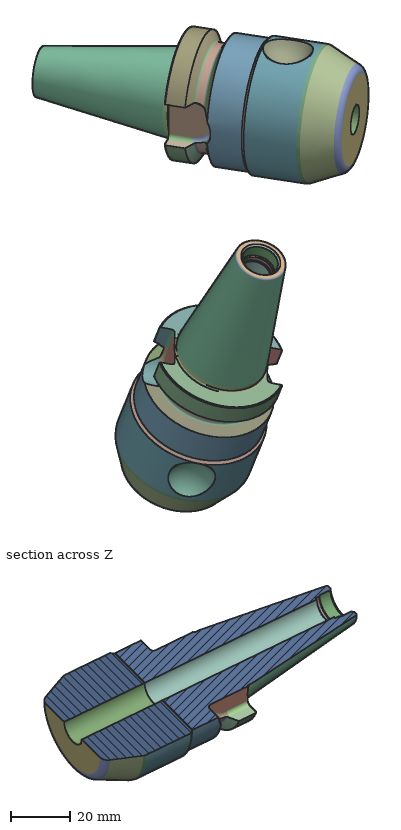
import cadquery as cq
import math

TAPER_LENGTH = 48.3
FLANGE_START = 50.5
FLANGE_END = 57.8
COLLAR_START = 66.0
NUT_START = 78.2
OVERALL_LENGTH = 111.4

GAUGE_RADIUS = 31.7 / 2
TAPER_SLOPE = 7 / 48
FLANGE_RADIUS = 46.0 / 2
GROOVE_RADIUS = 19.0
GROOVE_WALL_ANGLE = 60.0

TIP_FILLET = 0.6
NECK_FILLET = 0.6
FLANGE_CHAMFER = 0.3
GROOVE_FILLET = 0.8

BORE_RADIUS = 5.1
THREAD_RADIUS = 5.8
PILOT_RADIUS = 6.2
PILOT_DEPTH = 5.1
THREAD_END = 7.0
MOUTH_CHAMFER = 0.7

SLOT_WIDTH = 16.0
SLOT_FLOOR_Y = 16.3
SLOT_END_X = 67.2
SLOT_FLOOR_FILLET = 1.5

NUT_RADIUS = 48.0 / 2
NOSE_CONE_START = 98.4
NOSE_CONE_ANGLE = 24.5
CONE_FILLET = 3.1
NOSE_FILLET = 3.2

SOCKET_X = 87.8
SOCKET_CENTER_Z = 27.0
SOCKET_RADIUS = 9.0

TIP_RADIUS = GAUGE_RADIUS - TAPER_LENGTH * TAPER_SLOPE
GROOVE_WALL_RUN = (FLANGE_RADIUS - GROOVE_RADIUS) / math.tan(math.radians(GROOVE_WALL_ANGLE))
NOSE_RADIUS = NUT_RADIUS - (OVERALL_LENGTH - NOSE_CONE_START) * math.tan(math.radians(NOSE_CONE_ANGLE))


def revolve_about_x(points):
    """Solid of revolution of an (x, radius) outline around the X axis."""
    return cq.Workplane("XY").polyline(points).close().revolve(360, (0, 0, 0), (1, 0, 0))


def circle_edges(body, x, radius):
    """Circular edges around the X axis that lie at the given x and radius."""
    tolerance = 0.01
    reach = radius + tolerance
    return body.edges(
        cq.selectors.BoxSelector(
            (x - tolerance, -reach, -reach), (x + tolerance, reach, reach), boundingbox=True
        )
    ).edges(cq.selectors.RadiusNthSelector(-1))


def make_shank():
    groove_left = FLANGE_END + GROOVE_WALL_RUN
    groove_right = COLLAR_START - GROOVE_WALL_RUN
    shank = revolve_about_x([
        (0, 0),
        (0, TIP_RADIUS),
        (TAPER_LENGTH, GAUGE_RADIUS),
        (FLANGE_START, GAUGE_RADIUS),
        (FLANGE_START, FLANGE_RADIUS),
        (FLANGE_END, FLANGE_RADIUS),
        (groove_left, GROOVE_RADIUS),
        (groove_right, GROOVE_RADIUS),
        (COLLAR_START, FLANGE_RADIUS),
        (NUT_START, FLANGE_RADIUS),
        (NUT_START, 0),
    ])
    shank = circle_edges(shank, 0, TIP_RADIUS).fillet(TIP_FILLET)
    shank = circle_edges(shank, FLANGE_START, GAUGE_RADIUS).fillet(NECK_FILLET)
    shank = circle_edges(shank, FLANGE_START, FLANGE_RADIUS).chamfer(FLANGE_CHAMFER)
    for groove_corner in (groove_left, groove_right):
        shank = circle_edges(shank, groove_corner, GROOVE_RADIUS).fillet(GROOVE_FILLET)
    return shank


def make_bore():
    mouth_radius = PILOT_RADIUS + MOUTH_CHAMFER
    thread_start = PILOT_DEPTH + PILOT_RADIUS - THREAD_RADIUS
    return revolve_about_x([
        (0, 0),
        (0, mouth_radius),
        (MOUTH_CHAMFER, PILOT_RADIUS),
        (PILOT_DEPTH, PILOT_RADIUS),
        (thread_start, THREAD_RADIUS),
        (THREAD_END, THREAD_RADIUS),
        (THREAD_END, BORE_RADIUS),
        (OVERALL_LENGTH, BORE_RADIUS),
        (OVERALL_LENGTH, 0),
    ])


def make_drive_slot(side):
    """Round-ended cutter for one drive slot; side is -1 for -Y and +1 for +Y."""
    half_width = SLOT_WIDTH / 2
    round_center_x = SLOT_END_X - half_width
    depth = FLANGE_RADIUS - SLOT_FLOOR_Y
    cutter = (
        cq.Workplane("XZ", origin=(0, SLOT_FLOOR_Y, 0))
        .moveTo(FLANGE_START, -half_width)
        .lineTo(round_center_x, -half_width)
        .threePointArc((SLOT_END_X, 0), (round_center_x, half_width))
        .lineTo(FLANGE_START, half_width)
        .close()
        .extrude(-depth)
    )
    cutter = cutter.faces("<Y").edges("not <X").fillet(SLOT_FLOOR_FILLET)
    return cutter if side > 0 else cutter.mirror("XZ")


def make_holder():
    holder = make_shank().cut(make_bore())
    for side in (-1, 1):
        holder = holder.cut(make_drive_slot(side))
    return holder


def make_nut():
    rear_chamfer = NUT_RADIUS - FLANGE_RADIUS
    nut = revolve_about_x([
        (NUT_START, 0),
        (NUT_START, FLANGE_RADIUS),
        (NUT_START + rear_chamfer, NUT_RADIUS),
        (NOSE_CONE_START, NUT_RADIUS),
        (OVERALL_LENGTH, NOSE_RADIUS),
        (OVERALL_LENGTH, 0),
    ])
    nut = circle_edges(nut, NOSE_CONE_START, NUT_RADIUS).fillet(CONE_FILLET)
    nut = circle_edges(nut, OVERALL_LENGTH, NOSE_RADIUS).fillet(NOSE_FILLET)
    for side in (-1, 1):
        socket = cq.Workplane("XY").sphere(SOCKET_RADIUS).translate((SOCKET_X, 0, side * SOCKET_CENTER_Z))
        nut = nut.cut(socket)
    return nut.cut(make_bore())


holder = make_holder()
nut = make_nut()

result = cq.Compound.makeCompound([holder.val(), nut.val()])